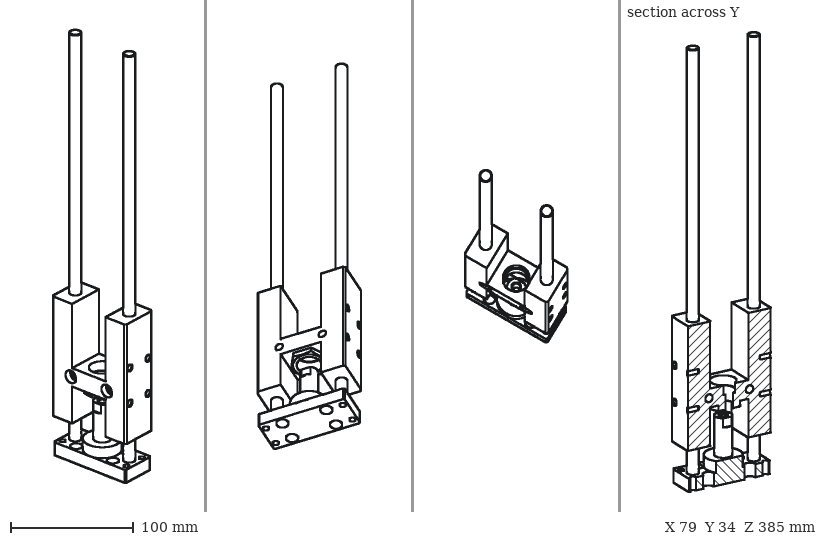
import cadquery as cq
import math

TOTAL_HEIGHT = 385.0
ROD_DIAMETER = 10.0
ROD_CHAMFER = 0.58
ROD_OFFSET = 29.0
ROD_CENTRES = [(-ROD_OFFSET, 0), (ROD_OFFSET, 0)]
STUD_AXIS = [(0, 0)]
DRILL_POINT_ANGLE = 118.0

HOUSING_WIDTH = 79.0
HOUSING_DEPTH = 34.0
HOUSING_BOTTOM = 36.0
HOUSING_HEIGHT = 109.7
HOUSING_TOP = HOUSING_BOTTOM + HOUSING_HEIGHT
HOUSING_CHAMFER = 1.5
LEG_GAP = 35.8
CROSSBAR_BOTTOM = 70.0
CROSSBAR_HEIGHT = 17.0
CROSSBAR_TOP = CROSSBAR_BOTTOM + CROSSBAR_HEIGHT

COLLAR_ACROSS_CORNERS = 32.0
COLLAR_HEIGHT = 5.0
COLLAR_BOTTOM = CROSSBAR_BOTTOM - COLLAR_HEIGHT
COLLAR_FACE_DIAMETER = 26.5
COLLAR_CHAMFER_ANGLE = 30.0

CROSSBAR_BORE = 22.0
CROSSBAR_BORE_DEPTH = 8.5
COLLAR_BORE = 20.5

FRONT_HOLE_OFFSET = 19.2
FRONT_HOLE_DIAMETER = 6.5
FRONT_COUNTERBORE_DIAMETER = 11.0
FRONT_COUNTERBORE_DEPTH = 5.8

SIDE_HOLE_DIAMETER = 5.0
SIDE_HOLE_DEPTH = 10.0
SIDE_HOLE_CHAMFER = 0.58
SIDE_HOLE_SPACING_Y = 22.7
SIDE_HOLE_SPACING_Z = 32.5
SIDE_HOLE_LOWER_Z = 72.0

PLATE_WIDTH = 77.0
PLATE_DEPTH = 32.0
PLATE_THICKNESS = 12.0
PLATE_CHAMFER = 1.0

FLANGE_DIAMETER = 32.0
FLANGE_TOP = 22.0
STUD_DIAMETER = 15.0
STUD_TOP = 56.5
FLAT_SPACING = 12.7
FLAT_HEIGHT = 8.0
STUD_HOLE_DIAMETER = 6.5
STUD_HOLE_DEPTH = 15.0
STUD_HOLE_CHAMFER = 0.8

SCREW_HOLE_DIAMETER = 10.0
SCREW_HOLE_OFFSET_X = 19.5
CORNER_HOLE_DIAMETER = 5.0
CORNER_HOLE_OFFSET_X = 34.3
PLATE_HOLE_OFFSET_Y = 9.5


def block(width, depth, bottom, top):
    """Box centred on the Z axis between two heights."""
    return cq.Workplane("XY").workplane(offset=bottom).rect(width, depth).extrude(top - bottom)


def cylinders(points, diameter, bottom, top):
    """Vertical cylinders at the given XY points between two heights."""
    base = cq.Workplane("XY").workplane(offset=bottom).pushPoints(points)
    return base.circle(diameter / 2).extrude(top - bottom)


def drilled_hole(position, direction, diameter, depth, chamfer):
    """Blind hole with a chamfered mouth and a conical drill point, running from position along direction."""
    radius = diameter / 2
    point_height = radius / math.tan(math.radians(DRILL_POINT_ANGLE / 2))
    shaft = cq.Solid.makeCylinder(radius, depth, position, direction)
    mouth = cq.Solid.makeCone(radius + chamfer, radius, chamfer, position, direction)
    point = cq.Solid.makeCone(radius, 0, point_height, position + direction * depth, direction)
    return cq.Workplane(shaft.fuse(mouth, point))


def four_corners(x, y):
    """Points mirrored into all four quadrants."""
    return [(sx * x, sy * y) for sx in (-1, 1) for sy in (-1, 1)]


def make_collar():
    """Hexagon below the crossbar, its lower corners cut by a cone."""
    hexagon = (
        cq.Workplane("XY").workplane(offset=COLLAR_BOTTOM)
        .polygon(6, COLLAR_ACROSS_CORNERS).extrude(COLLAR_HEIGHT)
    )
    face_radius = COLLAR_FACE_DIAMETER / 2
    upper_radius = face_radius + COLLAR_HEIGHT / math.tan(math.radians(COLLAR_CHAMFER_ANGLE))
    cone = cq.Workplane(cq.Solid.makeCone(
        face_radius, upper_radius, COLLAR_HEIGHT, cq.Vector(0, 0, COLLAR_BOTTOM)
    ))
    return hexagon.intersect(cone)


def cut_front_holes(body):
    """Counterbored through holes at the ends of the crossbar."""
    hole_z = CROSSBAR_BOTTOM + CROSSBAR_HEIGHT / 2
    return (
        body.copyWorkplane(cq.Workplane("XZ", origin=(0, -HOUSING_DEPTH / 2, hole_z)))
        .pushPoints([(-FRONT_HOLE_OFFSET, 0), (FRONT_HOLE_OFFSET, 0)])
        .cboreHole(FRONT_HOLE_DIAMETER, FRONT_COUNTERBORE_DIAMETER, FRONT_COUNTERBORE_DEPTH)
    )


def cut_side_holes(body):
    """Four blind mounting holes in each outer leg face."""
    for side in (-1, 1):
        for y in (-SIDE_HOLE_SPACING_Y / 2, SIDE_HOLE_SPACING_Y / 2):
            for z in (SIDE_HOLE_LOWER_Z, SIDE_HOLE_LOWER_Z + SIDE_HOLE_SPACING_Z):
                start = cq.Vector(side * HOUSING_WIDTH / 2, y, z)
                inward = cq.Vector(-side, 0, 0)
                hole = drilled_hole(start, inward, SIDE_HOLE_DIAMETER, SIDE_HOLE_DEPTH, SIDE_HOLE_CHAMFER)
                body = body.cut(hole)
    return body


def make_housing():
    """H-shaped guide block with rod bores, centre bore, collar and mounting holes."""
    body = block(HOUSING_WIDTH, HOUSING_DEPTH, HOUSING_BOTTOM, HOUSING_TOP)
    body = body.edges("|Z").chamfer(HOUSING_CHAMFER)
    body = body.cut(block(LEG_GAP, HOUSING_DEPTH, HOUSING_BOTTOM, CROSSBAR_BOTTOM))
    body = body.cut(block(LEG_GAP, HOUSING_DEPTH, CROSSBAR_TOP, HOUSING_TOP))
    body = body.union(make_collar())
    body = body.cut(cylinders(STUD_AXIS, CROSSBAR_BORE, CROSSBAR_TOP - CROSSBAR_BORE_DEPTH, CROSSBAR_TOP))
    body = body.cut(cylinders(STUD_AXIS, COLLAR_BORE, COLLAR_BOTTOM, CROSSBAR_TOP))
    body = body.cut(cylinders(ROD_CENTRES, ROD_DIAMETER, HOUSING_BOTTOM, HOUSING_TOP))
    body = cut_front_holes(body)
    return cut_side_holes(body)


def make_plate():
    """End plate with four screw holes around the flange and one small hole in each corner."""
    plate = block(PLATE_WIDTH, PLATE_DEPTH, 0, PLATE_THICKNESS).edges("|Z").chamfer(PLATE_CHAMFER)
    screw_points = four_corners(SCREW_HOLE_OFFSET_X, PLATE_HOLE_OFFSET_Y)
    corner_points = four_corners(CORNER_HOLE_OFFSET_X, PLATE_HOLE_OFFSET_Y)
    plate = plate.cut(cylinders(screw_points, SCREW_HOLE_DIAMETER, 0, PLATE_THICKNESS))
    return plate.cut(cylinders(corner_points, CORNER_HOLE_DIAMETER, 0, PLATE_THICKNESS))


def make_stud():
    """Flanged stud with two wrench flats and a blind hole at its upper end."""
    flange = cylinders(STUD_AXIS, FLANGE_DIAMETER, PLATE_THICKNESS, FLANGE_TOP)
    stud = cylinders(STUD_AXIS, STUD_DIAMETER, FLANGE_TOP, STUD_TOP - FLAT_HEIGHT)
    tip = cylinders(STUD_AXIS, STUD_DIAMETER, STUD_TOP - FLAT_HEIGHT, STUD_TOP)
    tip = tip.intersect(block(STUD_DIAMETER, FLAT_SPACING, STUD_TOP - FLAT_HEIGHT, STUD_TOP))
    hole = drilled_hole(
        cq.Vector(0, 0, STUD_TOP), cq.Vector(0, 0, -1),
        STUD_HOLE_DIAMETER, STUD_HOLE_DEPTH, STUD_HOLE_CHAMFER,
    )
    return flange.union(stud).union(tip).cut(hole)


def make_slider():
    """Plate, stud and guide rods as one solid."""
    rods = cylinders(ROD_CENTRES, ROD_DIAMETER, PLATE_THICKNESS, TOTAL_HEIGHT)
    rods = rods.faces(">Z").chamfer(ROD_CHAMFER)
    return make_plate().union(make_stud()).union(rods)


housing = make_housing()
slider = make_slider()
result = cq.Compound.makeCompound([housing.val(), slider.val()])